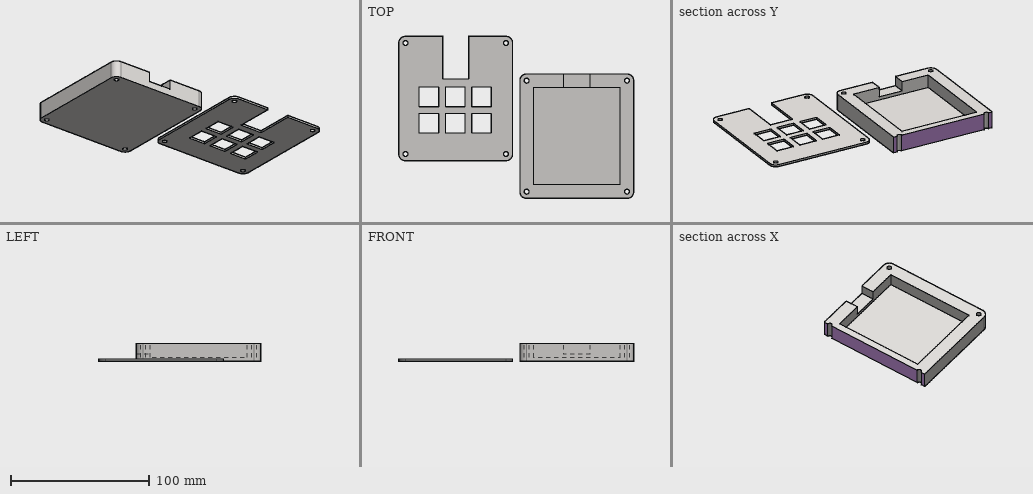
import cadquery as cq

width = 82.5
length = 90.2
corner_radius = 5.0
screw_hole_diameter = 3.4

plate_thickness = 1.7
notch_width = 18.5
notch_depth = 30.8
key_opening = 14.0
key_pitch = 19.0
key_columns = 3
key_rows = 2
key_grid_offset = 0.3
key_grid_center_x = width / 2 - key_grid_offset
key_grid_center_y = 36.8

overall_width = 170.1
overall_length = 117.4
housing_x = overall_width - width
housing_y = length - overall_length
housing_height = 13.0
floor_thickness = 2.9
wall_thickness = 10.0
cable_slot_width = 19.0
cable_slot_depth = 7.5


def box(x, y, z, size_x, size_y, size_z):
    """Box with its lowest corner at (x, y, z)."""
    return cq.Workplane("XY").box(size_x, size_y, size_z, centered=False).translate((x, y, z))


def drilled_slab(height):
    """Rounded slab with a screw hole concentric with each corner."""
    slab = box(0, 0, 0, width, length, height).edges("|Z").fillet(corner_radius)
    hole_positions = [
        (x, y)
        for x in (corner_radius, width - corner_radius)
        for y in (corner_radius, length - corner_radius)
    ]
    holes = (
        cq.Workplane("XY")
        .pushPoints(hole_positions)
        .circle(screw_hole_diameter / 2)
        .extrude(height)
    )
    return slab.cut(holes)


def make_switch_plate():
    """Thin plate with an open notch at the rear and a grid of square key openings."""
    notch = box(
        (width - notch_width) / 2, length - notch_depth, 0,
        notch_width, notch_depth, plate_thickness,
    )
    key_openings = (
        cq.Workplane("XY")
        .center(key_grid_center_x, key_grid_center_y)
        .rarray(key_pitch, key_pitch, key_columns, key_rows)
        .rect(key_opening, key_opening)
        .extrude(plate_thickness)
    )
    return drilled_slab(plate_thickness).cut(notch).cut(key_openings)


def make_housing():
    """Open tray with a cable slot through the top of its rear wall."""
    cavity = box(
        wall_thickness, wall_thickness, floor_thickness,
        width - 2 * wall_thickness, length - 2 * wall_thickness,
        housing_height - floor_thickness,
    )
    cable_slot = box(
        (width - cable_slot_width) / 2, length - wall_thickness, housing_height - cable_slot_depth,
        cable_slot_width, wall_thickness, cable_slot_depth,
    )
    tray = drilled_slab(housing_height).cut(cavity).cut(cable_slot)
    return tray.translate((housing_x, housing_y, 0))


switch_plate = make_switch_plate()
housing = make_housing()

result = cq.Compound.makeCompound([switch_plate.val(), housing.val()])